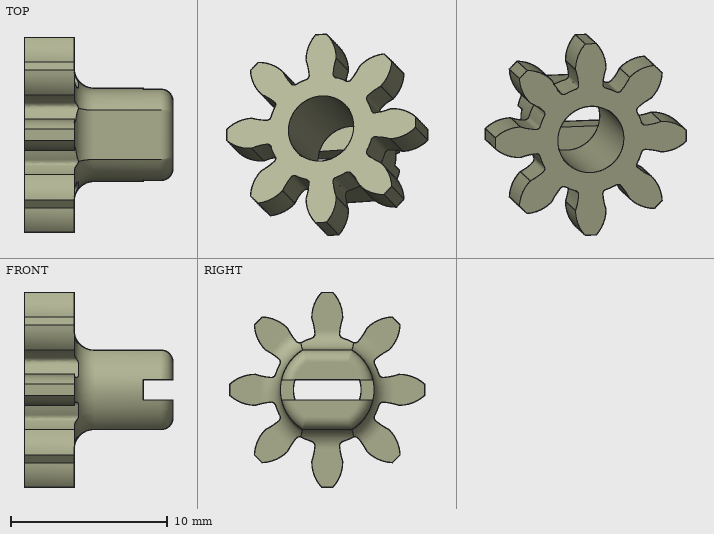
import cadquery as cq
import math

overall_length = 9.53
gear_width = 3.2

tooth_count = 8
tip_radius = 6.25
tip_half_thickness = 0.36
crown_radial, crown_half_thickness = 5.5, 0.83
pitch_radial, pitch_half_thickness = 4.6, 1.0
waist_radial, waist_half_thickness = 4.05, 0.855
base_radial, base_half_thickness = 3.3, 0.78
root_radius = 3.46
root_fillet_radius = 0.27

blank_radius = tip_radius + 0.5
hub_diameter = 6.0
flat_to_flat = 5.1
hub_base_fillet = 1.25
hub_end_fillet = 0.78

slot_width = 1.28
slot_depth = 1.9
bore_diameter = 4.32
bore_depth = overall_length - slot_depth

tolerance = 0.01


def make_tooth(length):
    """One tooth pointing along +Z, reaching down into the root cylinder."""
    return (
        cq.Workplane("YZ")
        .moveTo(-base_half_thickness, 0)
        .lineTo(-base_half_thickness, base_radial)
        .threePointArc((-waist_half_thickness, waist_radial), (-pitch_half_thickness, pitch_radial))
        .threePointArc((-crown_half_thickness, crown_radial), (-tip_half_thickness, tip_radius))
        .lineTo(tip_half_thickness, tip_radius)
        .threePointArc((crown_half_thickness, crown_radial), (pitch_half_thickness, pitch_radial))
        .threePointArc((waist_half_thickness, waist_radial), (base_half_thickness, base_radial))
        .lineTo(base_half_thickness, 0)
        .close()
        .extrude(length)
    )


def make_toothed_bar(length):
    """Toothed bar with a rounded corner where every flank meets the root cylinder."""
    bar = cq.Workplane("YZ").circle(root_radius).extrude(length)
    for index in range(tooth_count):
        tooth = make_tooth(length).rotate((0, 0, 0), (1, 0, 0), index * 360 / tooth_count)
        bar = bar.union(tooth)

    def is_root_corner(edge):
        centre = edge.Center()
        return math.hypot(centre.y, centre.z) < waist_radial

    return bar.edges("|X").filter(is_root_corner).fillet(root_fillet_radius)


def make_hub_blank():
    """Round disc carrying the double-flatted hub, blended at its base and rounded at its end."""
    disc = cq.Workplane("YZ").circle(blank_radius).extrude(gear_width)
    flats = cq.Workplane("YZ").rect(hub_diameter, flat_to_flat).extrude(overall_length)
    hub = cq.Workplane("YZ").circle(hub_diameter / 2).extrude(overall_length).intersect(flats)
    hub = hub.faces(">X").edges().fillet(hub_end_fillet)

    def is_hub_base(edge):
        box = edge.BoundingBox()
        on_disc_face = abs(box.xmin - gear_width) < tolerance and box.xlen < tolerance
        return on_disc_face and box.ylen < 2 * tip_radius

    return disc.union(hub).edges().filter(is_hub_base).fillet(hub_base_fillet)


def make_bore():
    return cq.Workplane("YZ").circle(bore_diameter / 2).extrude(bore_depth)


def make_slot():
    """Slot open along Y at the free end of the hub."""
    return (
        cq.Workplane("YZ", origin=(bore_depth, 0, 0))
        .rect(2 * hub_diameter, slot_width)
        .extrude(slot_depth)
    )


result = make_hub_blank().intersect(make_toothed_bar(overall_length))
result = result.cut(make_bore()).cut(make_slot())